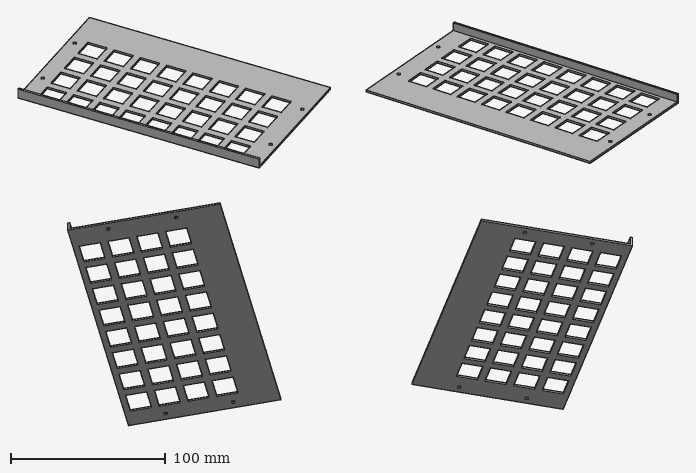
import cadquery as cq

plate_length = 175.0
plate_depth = 101.0
sheet_thickness = 1.5
lip_height = 7.0

window_columns = 8
window_rows = 4
window_size = 14.0
window_pitch = 19.0
first_window_x = 19.0
first_window_y = 11.0

hole_diameter = 2.3
hole_end_distance = 4.9
front_hole_y = 25.7
hole_row_spacing = 45.0


def make_bent_plate():
    """Flat plate and front lip, with the front left bottom corner at the origin."""
    plate = cq.Workplane("XY").box(plate_length, plate_depth, sheet_thickness, centered=False)
    lip = cq.Workplane("XY").box(plate_length, sheet_thickness, lip_height, centered=False)
    return plate.union(lip)


def make_window_cutters():
    centers = [
        (first_window_x + column * window_pitch, first_window_y + row * window_pitch)
        for column in range(window_columns)
        for row in range(window_rows)
    ]
    return (
        cq.Workplane("XY")
        .pushPoints(centers)
        .rect(window_size, window_size)
        .extrude(sheet_thickness)
    )


def make_hole_cutters():
    centers = [
        (x, y)
        for x in (hole_end_distance, plate_length - hole_end_distance)
        for y in (front_hole_y, front_hole_y + hole_row_spacing)
    ]
    return cq.Workplane("XY").pushPoints(centers).circle(hole_diameter / 2).extrude(sheet_thickness)


result = make_bent_plate().cut(make_window_cutters()).cut(make_hole_cutters())